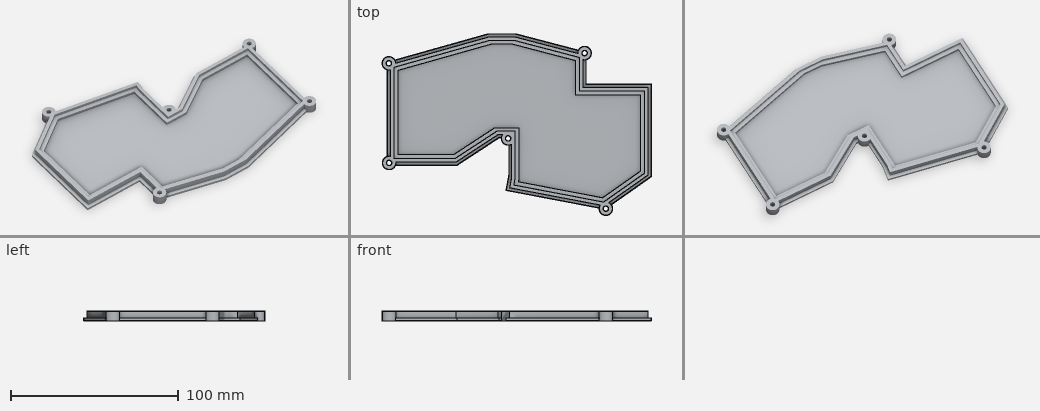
import cadquery as cq
import math

total_height = 6.0
flange_height = 2.0
floor_height = 2.1
ledge_height = 4.0
bottom_chamfer = 0.3

flange_width = 2.0
narrow_flange_width = 1.5
wall_width = 2.1
ledge_width = 2.4
narrow_ledge_width = 2.0

boss_radius = 4.0
hole_diameter = 3.0
boss_centers = [
    (4.0, 90.5),
    (4.2, 31.3),
    (75.0, 45.8),
    (120.5, 96.7),
    (133.2, 4.0),
]

left_x = 3.0
right_x = 160.3
shoulder_x = 121.5
notch_x = 75.5
base_y = 29.8
notch_y = 46.2
shoulder_y = 78.2
top_y = 108.0

flange_outline = [
    (left_x, base_y),
    (44.5, base_y),
    (69.5, notch_y),
    (notch_x, notch_y),
    (notch_x, 24.5),
    (73.7, 14.9),
    (132.7, 3.7),
    (right_x, 23.1),
    (right_x, shoulder_y),
    (shoulder_x, shoulder_y),
    (shoulder_x, 97.1),
    (79.8, top_y),
    (62.8, top_y),
    (left_x, 91.2),
]

notch_top_side = 2
notch_right_side = 3
top_side = 11


def inset(outline, width, special_widths):
    """Move each side inward by its own width and intersect neighbouring sides."""
    lines = []
    for i, (x, y) in enumerate(outline):
        next_x, next_y = outline[(i + 1) % len(outline)]
        length = math.hypot(next_x - x, next_y - y)
        normal_x = (y - next_y) / length
        normal_y = (next_x - x) / length
        side_width = special_widths.get(i, width)
        lines.append((normal_x, normal_y, normal_x * x + normal_y * y + side_width))
    corners = []
    for i, (bx, by, b_offset) in enumerate(lines):
        ax, ay, a_offset = lines[i - 1]
        determinant = ax * by - ay * bx
        corner_x = (a_offset * by - ay * b_offset) / determinant
        corner_y = (ax * b_offset - a_offset * bx) / determinant
        corners.append((corner_x, corner_y))
    return corners


def prism(outline, bottom, top):
    return cq.Workplane("XY").workplane(offset=bottom).polyline(outline).close().extrude(top - bottom)


def cylinders(radius):
    return cq.Workplane("XY").pushPoints(boss_centers).circle(radius).extrude(total_height)


wall_outline = inset(flange_outline, flange_width, {notch_right_side: narrow_flange_width})
cavity_outline = inset(wall_outline, wall_width, {})
narrow_ledges = {notch_top_side: narrow_ledge_width, top_side: narrow_ledge_width}
floor_outline = inset(cavity_outline, ledge_width, narrow_ledges)

flange = prism(flange_outline, 0, flange_height).faces("<Z").chamfer(bottom_chamfer)
body = flange.union(prism(wall_outline, 0, total_height)).union(cylinders(boss_radius))

body = body.cut(prism(cavity_outline, ledge_height, total_height))
body = body.cut(prism(floor_outline, floor_height, total_height))

result = body.cut(cylinders(hole_diameter / 2))